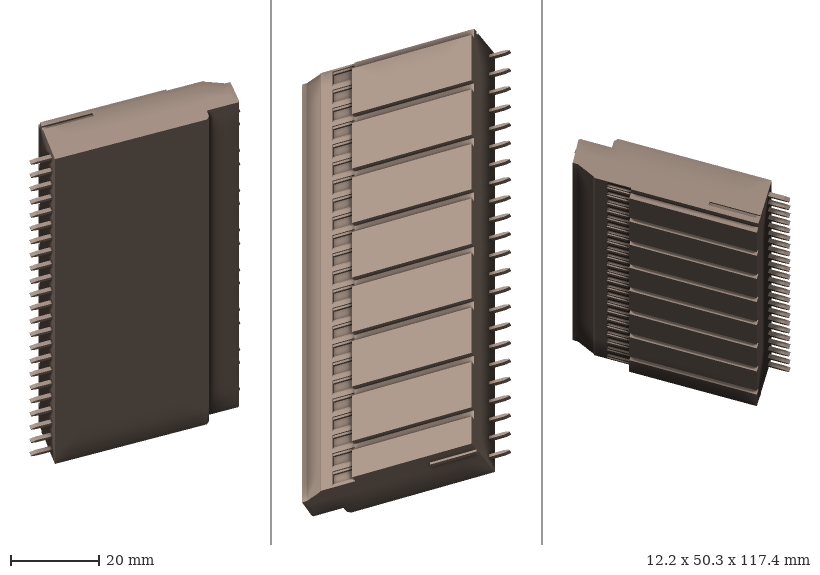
import cadquery as cq

POLE_COUNT = 23
PITCH = 5.08
POLES_PER_PLATE = 3
HEIGHT = POLE_COUNT * PITCH
PLATE_PITCH = POLES_PER_PLATE * PITCH
PLATE_COUNT = 8
PLATE_GAP = PITCH / 2

WIDTH = 12.2
PLATE_THICKNESS = 1.3
ENTRY_FACE_X = 1.65
NOSE_LEFT_X = 3.8
NOSE_RIGHT_X = 9.8

BODY_LENGTH = 44.8
PLATE_LENGTH = 30.1
SHOULDER_Y = 37.0
SLOPE_START_Y = 38.8
SLOPE_END_Y = 43.3
SLOPE_STEP = 0.3
SHOULDER_CHAMFER = 0.75
NOSE_CHAMFER = 0.3

NOSE_BACK_DROP = 0.25

RECESS_END_Y = 35.8
OUTER_RECESS_HEIGHT = 3.95
OUTER_RECESS_DEPTH = 0.3
INNER_RECESS_HEIGHT = 2.75
INNER_RECESS_DEPTH = 0.8

PIN_LENGTH = 5.0
PIN_LEFT_X = 9.1
PIN_WIDTH = 1.05
PIN_HEIGHT = 0.8
PIN_TAPER = 1.3
PIN_TIP_HEIGHT = 0.3

WEDGE_LEFT_X = 8.05
WEDGE_WIDTH = 0.75
WEDGE_BASE = 1.0
WEDGE_LENGTH = 0.5

KEY_LEFT_X = 2.48
KEY_WIDTH = 0.88
TONGUE_LENGTH = 11.7
TONGUE_HEIGHT = 0.6
GROOVE_LENGTH = 12.1
GROOVE_DEPTH = 0.6


def box(x, y, z, dx, dy, dz):
    """Box with its lowest corner at (x, y, z)."""
    return cq.Workplane("XY").box(dx, dy, dz, centered=False).translate((x, y, z))


def pole_center(index):
    """Z of a pole's pin."""
    return (index + 0.5) * PITCH


def make_housing():
    """Prism with the stepped, sloping profile of the housing, without plates."""
    profile = [
        (PLATE_THICKNESS, 0),
        (WIDTH, 0),
        (WIDTH, SHOULDER_Y - SHOULDER_CHAMFER),
        (WIDTH - SHOULDER_CHAMFER, SHOULDER_Y),
        (NOSE_RIGHT_X, SHOULDER_Y),
        (NOSE_RIGHT_X, BODY_LENGTH - NOSE_CHAMFER),
        (NOSE_RIGHT_X - NOSE_CHAMFER, BODY_LENGTH),
        (NOSE_LEFT_X, BODY_LENGTH - NOSE_BACK_DROP),
        (NOSE_LEFT_X, SLOPE_END_Y),
        (ENTRY_FACE_X + SLOPE_STEP, SLOPE_START_Y + SLOPE_STEP),
        (ENTRY_FACE_X, SLOPE_START_Y),
        (ENTRY_FACE_X, PLATE_LENGTH),
        (PLATE_THICKNESS, PLATE_LENGTH),
    ]
    return cq.Workplane("XY").polyline(profile).close().extrude(HEIGHT)


def make_plate(index):
    """Raised plate, counted from the top; the last one is cut off by the housing bottom."""
    top = HEIGHT - PLATE_GAP - index * PLATE_PITCH
    bottom = max(0, top - PLATE_PITCH + PLATE_GAP)
    return box(0, 0, bottom, PLATE_THICKNESS, PLATE_LENGTH, top - bottom)


def make_recess(center_z):
    """Shallow recess with a narrower, deeper one in its middle."""
    length = RECESS_END_Y - PLATE_LENGTH
    recess = None
    for height, depth in (
        (OUTER_RECESS_HEIGHT, OUTER_RECESS_DEPTH),
        (INNER_RECESS_HEIGHT, INNER_RECESS_DEPTH),
    ):
        step = box(ENTRY_FACE_X, PLATE_LENGTH, center_z - height / 2, depth, length, height)
        recess = step if recess is None else recess.union(step)
    return recess


def make_pin(center_z):
    """Flat pin whose top and bottom taper towards its end."""
    half = PIN_HEIGHT / 2
    half_tip = PIN_TIP_HEIGHT / 2
    taper_y = PIN_TAPER - PIN_LENGTH
    side = [
        (0, -half),
        (0, half),
        (taper_y, half),
        (-PIN_LENGTH, half_tip),
        (-PIN_LENGTH, -half_tip),
        (taper_y, -half),
    ]
    pin = cq.Workplane("YZ").polyline(side).close().extrude(PIN_WIDTH)
    return pin.translate((PIN_LEFT_X, 0, center_z))


def make_wedge(center_z):
    """Triangular wedge pointing away from the nose, with a root sunk into its slanted back."""
    half = WEDGE_BASE / 2
    side = [
        (-NOSE_BACK_DROP, -half),
        (0, -half),
        (WEDGE_LENGTH, 0),
        (0, half),
        (-NOSE_BACK_DROP, half),
    ]
    wedge = cq.Workplane("YZ").polyline(side).close().extrude(WEDGE_WIDTH)
    return wedge.translate((WEDGE_LEFT_X, BODY_LENGTH, center_z))


result = make_housing()

for plate_index in range(PLATE_COUNT):
    result = result.union(make_plate(plate_index))

for pole in range(POLE_COUNT):
    result = result.cut(make_recess(pole_center(pole)))
    result = result.union(make_pin(pole_center(pole)))

for joint in range(1, POLE_COUNT):
    if joint % POLES_PER_PLATE:
        result = result.union(make_wedge(HEIGHT - joint * PITCH))

groove_floor_z = HEIGHT - GROOVE_DEPTH
result = result.cut(box(KEY_LEFT_X, 0, groove_floor_z, KEY_WIDTH, GROOVE_LENGTH, GROOVE_DEPTH))
result = result.union(box(KEY_LEFT_X, 0, -TONGUE_HEIGHT, KEY_WIDTH, TONGUE_LENGTH, TONGUE_HEIGHT))